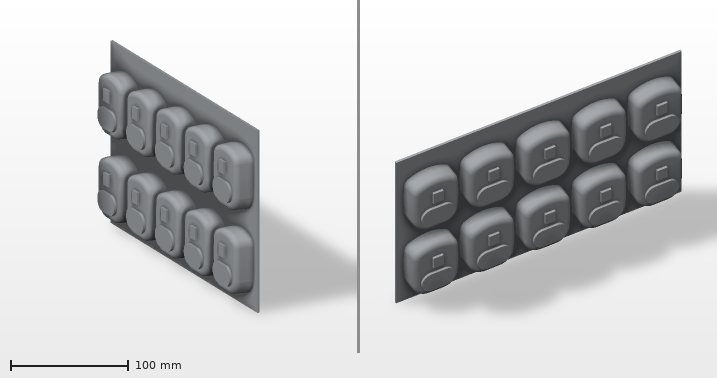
import cadquery as cq

PLATE_LENGTH = 280.7
PLATE_HEIGHT = 163.0
PLATE_THICKNESS = 2.2
TOTAL_DEPTH = 22.0

COLUMNS = 5
ROWS = 2
COLUMN_PITCH = 55.0
ROW_PITCH = 75.0
GRID_SHIFT = 0.3
GRID_DROP = 3.6

HOUSING_HEIGHT = 56.0
HOUSING_HALF_WIDTH = 23.3
WIDEST_ABOVE_CENTRE = 5.5
SHOULDER_HALF_WIDTH = 22.2
SHOULDER_DROP = 6.7
FOOT_HALF_WIDTH = 20.5
SHOULDER_RADIUS = 8.5
FOOT_RADIUS = 15.5
DRAFT_ANGLE = 2.5
RIM_RADIUS = 4.8

DETAIL_RISE = 2.5
BUTTON_WIDTH = 9.8
BUTTON_HEIGHT = 11.2
BUTTON_ABOVE_CENTRE = 9.5
PAD_LENGTH = 32.5
PAD_HEIGHT = 18.5
PAD_BELOW_CENTRE = 11.2

HOUSING_DEPTH = TOTAL_DEPTH - PLATE_THICKNESS - DETAIL_RISE


def make_plate():
    """Flat back plate, front face on Y = 0."""
    return cq.Workplane("XZ").rect(PLATE_LENGTH, PLATE_HEIGHT).extrude(-PLATE_THICKNESS)


def make_housing():
    """Drafted housing standing on the plate front, centred on the origin."""
    crown = HOUSING_HEIGHT / 2
    shoulder = crown - SHOULDER_DROP
    foot = -HOUSING_HEIGHT / 2
    outline = (
        cq.Sketch()
        .arc((-SHOULDER_HALF_WIDTH, shoulder), (0, crown), (SHOULDER_HALF_WIDTH, shoulder))
        .arc((HOUSING_HALF_WIDTH, WIDEST_ABOVE_CENTRE), (FOOT_HALF_WIDTH, foot))
        .segment((-FOOT_HALF_WIDTH, foot))
        .arc((-HOUSING_HALF_WIDTH, WIDEST_ABOVE_CENTRE), (-SHOULDER_HALF_WIDTH, shoulder))
        .assemble()
        .vertices(">Y")
        .fillet(SHOULDER_RADIUS)
        .reset()
        .vertices("<Y")
        .fillet(FOOT_RADIUS)
    )
    return (
        cq.Workplane("XZ")
        .placeSketch(outline)
        .extrude(HOUSING_DEPTH, taper=DRAFT_ANGLE)
        .faces("<Y")
        .edges()
        .fillet(RIM_RADIUS)
    )


def make_face_details():
    """Rectangular button and slot-shaped pad raised from the housing face."""
    face = cq.Workplane("XZ", origin=(0, -HOUSING_DEPTH, 0))
    button = face.center(0, BUTTON_ABOVE_CENTRE).rect(BUTTON_WIDTH, BUTTON_HEIGHT).extrude(DETAIL_RISE)
    pad = face.center(0, -PAD_BELOW_CENTRE).slot2D(PAD_LENGTH, PAD_HEIGHT).extrude(DETAIL_RISE)
    return button.union(pad)


unit = make_housing().union(make_face_details())

result = make_plate()
for column in range(COLUMNS):
    for row in range(ROWS):
        x = (column - (COLUMNS - 1) / 2) * COLUMN_PITCH + GRID_SHIFT
        z = (row - (ROWS - 1) / 2) * ROW_PITCH - GRID_DROP
        result = result.union(unit.translate((x, 0, z)))